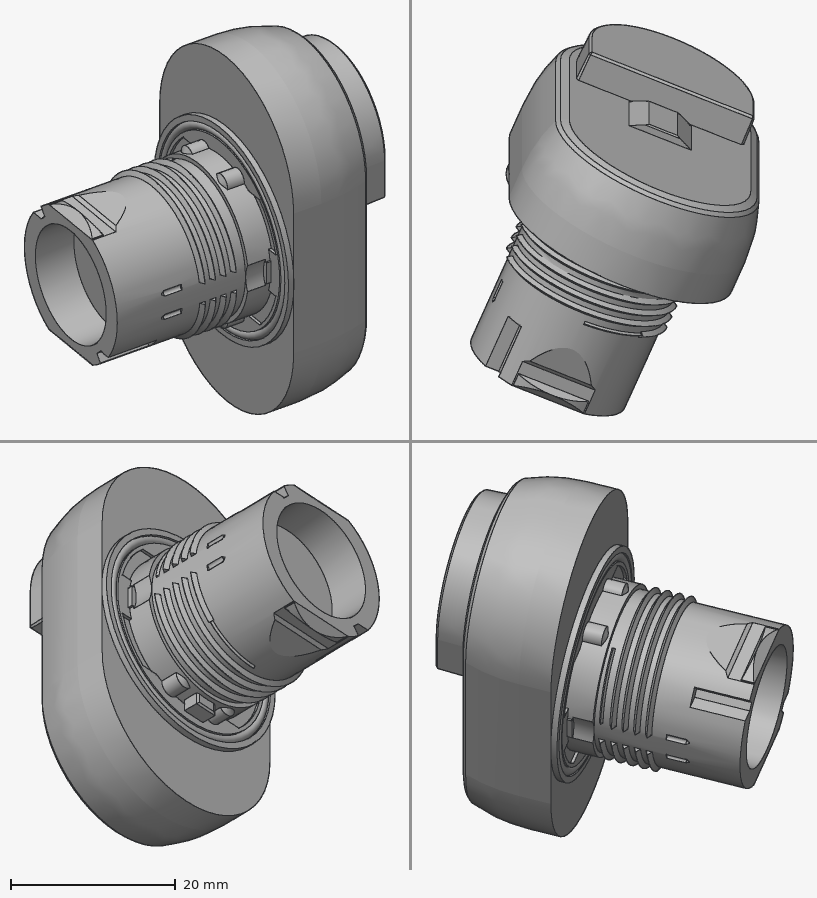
import cadquery as cq
import math


housing_length = 49.6
housing_radius = 14.75
end_offset = housing_length / 2 - housing_radius
wall_height = 4.05
crown_height = 11.35
housing_height = 12.2
crown_inset = 1.35
shoulder_height = 11.8
shoulder_inset = 1.8
rim_inset = 2.8
crown_arc_radius = ((crown_height - wall_height) ** 2 + crown_inset**2) / (2 * crown_inset)

button_radius = 11.0
button_height = 3.85
button_bottom = 4.5
button_draft = 2.0
button_edge = 0.3
indicator_size = 8.25
indicator_height = 1.05
indicator_slope = 2.25
indicator_edge = 0.2

flange_radius = 14.81
flange_thickness = 0.8
collar_radius = 10.84
collar_end = 4.0
barrel_radius = 10.2
barrel_end = 22.65
bore_radius = 7.8
bore_depth = 5.6

seal_outer = 14.0
seal_inner = 12.85
seal_half_width = (seal_outer - seal_inner) / 2
seal_mid_radius = (seal_outer + seal_inner) / 2
seal_seat = 0.3

pocket_radius = 12.35
pocket_inner_z = 3.0
flat_z = 9.05
pocket_depth = 0.4

rib_radius = 1.4
rib_x = 3.7
rib_z = 9.6
rib_end = 3.2
rib_tip = 3.9

notch_radius = 4.55
notch_floor = 10.25
notch_start = 1.45
stop_x = 10.99

key_width = 3.2
key_bottom = 12.4
key_start = 1.3
key_end = 3.4
key_edge_side = 0.35
key_edge_end = 0.15

thread_pitch = 1.515
thread_tip = 10.85
thread_half_base = 0.47
thread_root_overlap = 0.1
thread_start = 4.65
thread_start_angle = 117
thread_full_angle = 180
thread_full_end_angle = 225 + 4 * 360
thread_end_angle = 270 + 4 * 360
runout_tip = 10.5
runout_half_base = 0.3
gap_half_width = 1.515

ramp_start = 15.15
ramp_knee = 18.8
ramp_knee_z = 9.4
flat_start = 19.3
barb_half_width = 4.6
barb_start = 20.95
barb_peak = 21.55

groove_start = 15.65
groove_floor_z = 6.05
groove_side_x = 6.5
groove_tip_x = 5.75
groove_tip_z = 6.8
groove_top_z = 7.8

dimple_radius = 0.4
dimple_x = 10.15
dimple_z = 1.75
dimple_start = 13.2
dimple_end = 15.7
dimple_tip = 16.3


def plane_at(depth):
    """A plane at this depth: local x is X, local y is Z, and it extrudes toward -Y."""
    return cq.Workplane("XZ", origin=(0, -depth, 0))


def disc(radius, start, end):
    return plane_at(start).circle(radius).extrude(end - start)


def block(x_size, z_size, start, end, x=0.0, z=0.0):
    return plane_at(start).center(x, z).rect(x_size, z_size).extrude(end - start)


def drill_point(radius, x, z, start, end, tip):
    """A round rod along the bush with a conical end."""
    return (
        cq.Workplane("XY", origin=(x, 0, z))
        .moveTo(0, -start)
        .lineTo(radius, -start)
        .lineTo(radius, -end)
        .lineTo(0, -tip)
        .close()
        .revolve(360, (0, 0, 0), (0, 1, 0))
    )


def half_turned(body):
    """The body turned half a turn about the bush axis."""
    return body.rotate((0, 0, 0), (0, 1, 0), 180)


def half_housing_profile():
    """The cap's section from the bush axis line out to its wall."""
    crown_angle = math.asin((crown_height - wall_height) / crown_arc_radius) / 2
    crown_mid = (
        housing_radius - crown_arc_radius * (1 - math.cos(crown_angle)),
        wall_height + crown_arc_radius * math.sin(crown_angle),
    )
    return (
        cq.Workplane("XY")
        .lineTo(housing_radius, 0)
        .lineTo(housing_radius, wall_height)
        .threePointArc(crown_mid, (housing_radius - crown_inset, crown_height))
        .lineTo(housing_radius - shoulder_inset, shoulder_height)
        .lineTo(housing_radius - rim_inset, housing_height)
        .lineTo(0, housing_height)
        .close()
    )


def make_housing():
    rounded_end = half_housing_profile().revolve(360, (0, 0, 0), (0, 1, 0))
    half_middle = half_housing_profile().extrude(end_offset, both=True)
    housing = half_middle.union(half_middle.mirror("YZ"))
    for z in (-end_offset, end_offset):
        housing = housing.union(rounded_end.translate((0, 0, z)))
    return housing


def make_button():
    return (
        plane_at(-housing_height)
        .moveTo(-button_radius, button_bottom + button_edge)
        .lineTo(-button_radius + button_edge, button_bottom)
        .lineTo(button_radius - button_edge, button_bottom)
        .lineTo(button_radius, button_bottom + button_edge)
        .lineTo(button_radius, end_offset)
        .threePointArc((0, end_offset + button_radius), (-button_radius, end_offset))
        .close()
        .extrude(-button_height, taper=button_draft)
        .faces(">Y")
        .chamfer(button_edge)
    )


def make_indicator():
    """A low lens with sloping sides and beveled ends."""
    half_size = indicator_size / 2
    top_half_width = half_size - indicator_slope
    top = housing_height + indicator_height
    return (
        cq.Workplane("XY")
        .moveTo(-half_size, housing_height)
        .lineTo(-top_half_width, top)
        .lineTo(top_half_width, top)
        .lineTo(half_size, housing_height)
        .close()
        .extrude(half_size, both=True)
        .faces(">Y")
        .edges("|X")
        .chamfer(indicator_edge)
    )


def make_seal():
    seat_y = -seal_seat
    return (
        cq.Workplane("XY")
        .moveTo(seal_inner, seat_y)
        .threePointArc((seal_mid_radius, seat_y - seal_half_width), (seal_outer, seat_y))
        .close()
        .revolve(360, (0, 0, 0), (0, 1, 0))
    )


def make_flange():
    flange = disc(flange_radius, 0, flange_thickness)
    seal_groove = disc(seal_outer, seal_seat, flange_thickness).cut(disc(seal_inner, seal_seat, flange_thickness))
    pocket_height = flat_z - pocket_inner_z
    pocket_start = flange_thickness - pocket_depth
    pocket_disc = disc(pocket_radius, pocket_start, flange_thickness)
    flange = flange.cut(seal_groove)
    for side in (-1, 1):
        window = block(
            2 * pocket_radius,
            pocket_height,
            pocket_start,
            flange_thickness,
            z=side * (pocket_inner_z + pocket_height / 2),
        )
        flange = flange.cut(pocket_disc.intersect(window))
    return flange


def make_collar():
    collar = disc(collar_radius, 0, collar_end)
    for side in (-1, 1):
        stop = block(stop_x, 2 * gap_half_width, 0, notch_start, x=side * stop_x / 2)
        notch = plane_at(notch_start).center(side * (notch_floor + notch_radius), 0).circle(notch_radius)
        collar = collar.union(stop).cut(notch.extrude(collar_end - notch_start))
    for x in (-rib_x, rib_x):
        for z in (-rib_z, rib_z):
            collar = collar.union(drill_point(rib_radius, x, z, 0, rib_end, rib_tip))
    return collar


def make_key():
    key_height = key_bottom - barrel_radius
    key = block(key_width, key_height, key_start, key_end, z=-barrel_radius - key_height / 2)
    return key.faces("<Y").chamfer(key_edge_end, key_edge_side)


def make_ridge(start_angle, end_angle, tip_radius, half_base):
    """A stretch of the thread between two angles, counted from +X toward +Z."""
    height = thread_pitch * (end_angle - start_angle) / 360
    start_depth = thread_start + thread_pitch * (start_angle - thread_start_angle) / 360
    helix = cq.Wire.makeHelix(thread_pitch, height, barrel_radius)
    root = barrel_radius - thread_root_overlap
    return (
        cq.Workplane("XZ")
        .moveTo(root, -half_base)
        .lineTo(tip_radius, 0)
        .lineTo(root, half_base)
        .close()
        .sweep(cq.Workplane(helix), isFrenet=True)
        .rotate((0, 0, 0), (0, 0, 1), start_angle)
        .rotate((0, 0, 0), (1, 0, 0), 90)
        .translate((0, -start_depth, 0))
    )


def make_thread():
    """Just over four full turns with a lower run-out at each end, parted by a gap on either side."""
    gap = block(3 * barrel_radius, 2 * gap_half_width, 0, barrel_end)
    return [
        make_ridge(thread_start_angle, thread_full_angle, runout_tip, runout_half_base).cut(gap),
        make_ridge(thread_full_angle, thread_full_end_angle, thread_tip, thread_half_base).cut(gap),
        make_ridge(thread_full_end_angle, thread_end_angle, runout_tip, runout_half_base).cut(gap),
    ]


def make_flat_cut():
    """The material above the ramp and flat at the barrel end, on the +Z side."""
    return (
        cq.Workplane("YZ")
        .moveTo(-ramp_start, barrel_radius)
        .lineTo(-ramp_knee, ramp_knee_z)
        .lineTo(-flat_start, flat_z)
        .lineTo(-barrel_end, flat_z)
        .lineTo(-barrel_end, barrel_radius)
        .close()
        .extrude(barrel_radius, both=True)
    )


def make_barb():
    ridge = (
        cq.Workplane("YZ")
        .moveTo(-barb_start, flat_z)
        .lineTo(-barb_peak, barrel_radius)
        .lineTo(-barrel_end, flat_z)
        .close()
        .extrude(barb_half_width, both=True)
    )
    return ridge.intersect(disc(barrel_radius, 0, barrel_end))


def make_groove_cut():
    return (
        plane_at(groove_start)
        .moveTo(-barrel_radius, groove_floor_z)
        .lineTo(-groove_side_x, groove_floor_z)
        .lineTo(-groove_tip_x, groove_tip_z)
        .lineTo(-groove_side_x, groove_top_z)
        .lineTo(-groove_side_x, barrel_radius)
        .lineTo(-barrel_radius, barrel_radius)
        .close()
        .extrude(barrel_end - groove_start)
    )


def make_bush():
    flat_cut = make_flat_cut()
    groove_cut = make_groove_cut()
    barb = make_barb()
    barrel = disc(barrel_radius, 0, barrel_end)
    barrel = barrel.cut(flat_cut).cut(half_turned(flat_cut))
    barrel = barrel.cut(groove_cut).cut(half_turned(groove_cut))
    barrel = barrel.union(barb).union(half_turned(barb))
    for x in (-dimple_x, dimple_x):
        for z in (-dimple_z, dimple_z):
            barrel = barrel.cut(drill_point(dimple_radius, x, z, dimple_start, dimple_end, dimple_tip))
    bore = disc(bore_radius, barrel_end - bore_depth, barrel_end)
    bush = make_flange().union(make_collar()).union(make_key()).union(barrel)
    for ridge in make_thread():
        bush = bush.union(ridge)
    return bush.cut(bore)


housing = make_housing()
button = make_button()
indicator = make_indicator()
bush = make_bush()
seal = make_seal()

result = cq.Compound.makeCompound(
    [housing.val(), button.val(), indicator.val(), *bush.vals(), seal.val()]
)